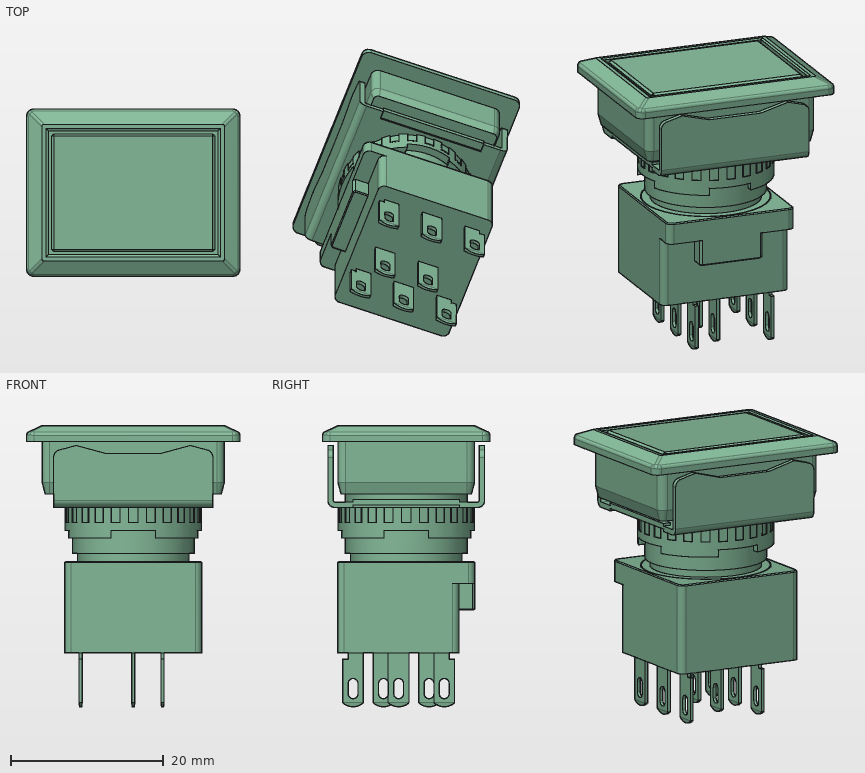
import cadquery as cq
import math

TOP = 36.9
BEZEL_BOTTOM = 34.8
BODY_TAPER_START = 29.4
BODY_BOTTOM = 27.9
CLIP_BOTTOM = 26.13
NUT_BOTTOM = 22.15
NECK_TOP = 20.15
BLOCK_TOP = 19.08
STEP_HEIGHT = 16.2
BLOCK_BOTTOM = 7.1

BEZEL_LENGTH = 28.0
BEZEL_WIDTH = 22.0
RIM_INSET = 2.03
SLOPE_HEIGHT = 0.95
BEZEL_CORNER = 1.0
SLOPE_CORNER = 0.75
BEZEL_EDGE = 0.5
RECESS_INSET = 2.6
RECESS_EDGE_WIDTH = 0.3
RECESS_EDGE_DROP = 0.15
RECESS_DEPTH = 0.75
BUTTON_INSET = 3.3
BUTTON_CHAMFER = 0.3

BODY_LENGTH = 23.9
BODY_WIDTH = 17.95
BODY_CORNER = 1.0
BODY_TAPER = 0.4
BARREL_RADIUS = 8.0
NECK_RADIUS = 7.35
FLANGE_RADIUS = 8.45
FLANGE_CLEARANCE = 0.1
FLANGE_THICKNESS = 0.75

CLIP_LENGTH = 20.9
CLIP_WIDTH = 20.6
CLIP_THICKNESS = 0.75
CLIP_BEND_RADIUS = 0.95
ARM_PEAK_X = 7.5
ARM_PEAK_HEIGHT = 34.28
ARM_VALLEY_X = 3.7
ARM_SLOPE = math.tan(math.radians(15))
ARM_CORNER = 1.0
PAD_WIDTH = 14.02
PAD_DEPTH = 1.1
PAD_OFFSET = 0.35

NUT_RADIUS = 8.95
GRIP_SLOT_COUNT = 24
GRIP_SLOT_WIDTH = 1.18
GRIP_SLOT_DEPTH = 0.15
GRIP_SLOT_BOTTOM = 24.17
NOTCH_WIDTH = 5.85
NOTCH_HEIGHT = 0.95

BLOCK_SIDE = 17.97
BLOCK_CORNER = 0.85
BLOCK_TOP_CHAMFER = 0.15
STEP_DEPTH = 2.05
LUG_WIDTH = 8.85
LUG_BOTTOM = 12.7
LUG_SIDE_CHAMFER = 0.3
LUG_BOTTOM_CHAMFER = 0.15

TERMINAL_WIDTH = 2.73
TERMINAL_THICKNESS = 0.45
TERMINAL_PITCH = 5.98
TERMINAL_ROW_CENTER_Y = -1.0
CONTACT_ROWS_X = (-6.9, 3.85)
LAMP_TERMINALS_Y = (-3.0, 3.0)
TIP_HEIGHT = 0.55
TIP_TAPER = 0.07
EYE_WIDTH = 1.25
EYE_LENGTH = 2.62
EYE_CENTER_HEIGHT = 2.4
SHOULDER_HEIGHT = 6.27
SHOULDER_WIDTH = 0.7

SELECTION_MARGIN = 0.05
CORNER_EDGE_RISE = 0.35


def slab(length, width, bottom, top):
    """Box centred on the Z axis between two heights."""
    return cq.Workplane().workplane(offset=bottom).rect(length, width).extrude(top - bottom)


def disc(radius, bottom, top):
    """Cylinder on the Z axis between two heights."""
    return cq.Workplane().workplane(offset=bottom).circle(radius).extrude(top - bottom)


def frustum(inset_low, inset_high, low, high):
    """Loft between two rectangles inset from the bezel outline."""
    return (
        cq.Workplane()
        .workplane(offset=low)
        .rect(BEZEL_LENGTH - 2 * inset_low, BEZEL_WIDTH - 2 * inset_low)
        .workplane(offset=high - low)
        .rect(BEZEL_LENGTH - 2 * inset_high, BEZEL_WIDTH - 2 * inset_high)
        .loft(ruled=True)
    )


def make_bezel():
    """Picture-frame bezel with sloped sides and a raised button face in its recess."""
    slope_start = TOP - SLOPE_HEIGHT
    slope_run = RIM_INSET / SLOPE_HEIGHT
    base_inset = -(slope_start - BEZEL_BOTTOM) * slope_run
    plate = slab(BEZEL_LENGTH, BEZEL_WIDTH, BEZEL_BOTTOM, TOP).edges("|Z").fillet(BEZEL_CORNER)
    pyramid = frustum(base_inset, RIM_INSET, BEZEL_BOTTOM, TOP).edges("not #Z").fillet(SLOPE_CORNER)
    bezel = plate.intersect(pyramid)
    outer_edge = cq.selectors.BoxSelector(
        (-BEZEL_LENGTH, -BEZEL_WIDTH, slope_start - SELECTION_MARGIN),
        (BEZEL_LENGTH, BEZEL_WIDTH, slope_start + CORNER_EDGE_RISE),
        boundingbox=True,
    )
    bezel = bezel.edges(outer_edge).fillet(BEZEL_EDGE)

    floor = TOP - RECESS_DEPTH
    wall_inset = RECESS_INSET + RECESS_EDGE_WIDTH
    wall_top = TOP - RECESS_EDGE_DROP
    recess = frustum(wall_inset, wall_inset, floor, wall_top)
    recess = recess.union(frustum(wall_inset, RECESS_INSET, wall_top, TOP))
    button = slab(BEZEL_LENGTH - 2 * BUTTON_INSET, BEZEL_WIDTH - 2 * BUTTON_INSET, floor, TOP)
    button = button.edges("|Z or >Z").chamfer(BUTTON_CHAMFER)
    return bezel.cut(recess).union(button)


def make_housing():
    """Bezel, rectangular body, round barrel and the flange that seats in the switch block."""
    body = slab(BODY_LENGTH, BODY_WIDTH, BODY_BOTTOM, BEZEL_BOTTOM).edges("|Z").fillet(BODY_CORNER)
    body = body.faces("<Z").chamfer(BODY_TAPER_START - BODY_BOTTOM, BODY_TAPER)
    return (
        make_bezel()
        .union(body)
        .union(disc(BARREL_RADIUS, NECK_TOP, BODY_BOTTOM))
        .union(disc(NECK_RADIUS, BLOCK_TOP, NECK_TOP))
        .union(disc(FLANGE_RADIUS, BLOCK_TOP - FLANGE_THICKNESS, BLOCK_TOP))
    )


def make_clip():
    """U-shaped spring clip around the barrel, with two double-peaked arms."""
    channel = slab(CLIP_LENGTH, CLIP_WIDTH, CLIP_BOTTOM, TOP)
    channel = channel.edges("|X and <Z").fillet(CLIP_BEND_RADIUS)
    inside = slab(CLIP_LENGTH, CLIP_WIDTH - 2 * CLIP_THICKNESS, CLIP_BOTTOM + CLIP_THICKNESS, TOP)
    inside = inside.edges("|X and <Z").fillet(CLIP_BEND_RADIUS - CLIP_THICKNESS)

    half_length = CLIP_LENGTH / 2
    corner_height = ARM_PEAK_HEIGHT - (half_length - ARM_PEAK_X) * ARM_SLOPE
    valley_height = ARM_PEAK_HEIGHT - (ARM_PEAK_X - ARM_VALLEY_X) * ARM_SLOPE
    arm_outline = (
        cq.Workplane("XZ")
        .moveTo(-half_length, CLIP_BOTTOM)
        .lineTo(-half_length, corner_height)
        .lineTo(-ARM_PEAK_X, ARM_PEAK_HEIGHT)
        .lineTo(-ARM_VALLEY_X, valley_height)
        .lineTo(ARM_VALLEY_X, valley_height)
        .lineTo(ARM_PEAK_X, ARM_PEAK_HEIGHT)
        .lineTo(half_length, corner_height)
        .lineTo(half_length, CLIP_BOTTOM)
        .close()
        .extrude(CLIP_WIDTH / 2, both=True)
    )
    corners = cq.selectors.BoxSelector(
        (-CLIP_LENGTH, -CLIP_WIDTH, corner_height - SELECTION_MARGIN),
        (CLIP_LENGTH, CLIP_WIDTH, corner_height + SELECTION_MARGIN),
    )
    arm_outline = arm_outline.edges(corners).fillet(ARM_CORNER)
    clip = channel.cut(inside).intersect(arm_outline)

    pad_x = half_length - PAD_DEPTH / 2
    for x in (-pad_x, pad_x):
        hollow = slab(PAD_DEPTH, PAD_WIDTH, CLIP_BOTTOM, CLIP_BOTTOM + PAD_OFFSET)
        plate_top = CLIP_BOTTOM + CLIP_THICKNESS
        pad = slab(PAD_DEPTH, PAD_WIDTH, plate_top, plate_top + PAD_OFFSET)
        clip = clip.cut(hollow.translate((x, 0, 0))).union(pad.translate((x, 0, 0)))
    return clip.cut(disc(BARREL_RADIUS, CLIP_BOTTOM, TOP))


def make_nut():
    """Ring nut with grip slots round its upper part and four notches in its lower edge."""
    nut = disc(NUT_RADIUS, NUT_BOTTOM, CLIP_BOTTOM).cut(disc(BARREL_RADIUS, NUT_BOTTOM, CLIP_BOTTOM))
    grip_slot = slab(2 * GRIP_SLOT_DEPTH, GRIP_SLOT_WIDTH, GRIP_SLOT_BOTTOM, CLIP_BOTTOM)
    grip_slot = grip_slot.translate((NUT_RADIUS, 0, 0))
    for index in range(GRIP_SLOT_COUNT):
        nut = nut.cut(grip_slot.rotate((0, 0, 0), (0, 0, 1), index * 360 / GRIP_SLOT_COUNT))
    across = 2 * NUT_RADIUS
    notch_top = NUT_BOTTOM + NOTCH_HEIGHT
    nut = nut.cut(slab(across, NOTCH_WIDTH, NUT_BOTTOM, notch_top))
    return nut.cut(slab(NOTCH_WIDTH, across, NUT_BOTTOM, notch_top))


def make_terminal(x, y, shoulder_side=0):
    """Solder terminal; shoulder_side is the sign of the Y side cut back under the block."""
    half_width = TERMINAL_WIDTH / 2
    half_thickness = TERMINAL_THICKNESS / 2
    blade = (
        cq.Workplane("YZ")
        .moveTo(-half_width, BLOCK_BOTTOM)
        .lineTo(-half_width, TIP_HEIGHT)
        .threePointArc((0, 0), (half_width, TIP_HEIGHT))
        .lineTo(half_width, BLOCK_BOTTOM)
        .close()
        .extrude(half_thickness, both=True)
    )
    thickness_profile = (
        cq.Workplane("XZ")
        .moveTo(-half_thickness, BLOCK_BOTTOM)
        .lineTo(-half_thickness, TIP_HEIGHT)
        .lineTo(TIP_TAPER - half_thickness, 0)
        .lineTo(half_thickness - TIP_TAPER, 0)
        .lineTo(half_thickness, TIP_HEIGHT)
        .lineTo(half_thickness, BLOCK_BOTTOM)
        .close()
        .extrude(half_width, both=True)
    )
    eye = (
        cq.Workplane("YZ")
        .center(0, EYE_CENTER_HEIGHT)
        .slot2D(EYE_LENGTH, EYE_WIDTH, 90)
        .extrude(TERMINAL_THICKNESS, both=True)
    )
    terminal = blade.intersect(thickness_profile).cut(eye)
    if shoulder_side:
        shoulder = slab(TERMINAL_THICKNESS, SHOULDER_WIDTH, SHOULDER_HEIGHT, BLOCK_BOTTOM)
        shoulder_y = shoulder_side * (half_width - SHOULDER_WIDTH / 2)
        terminal = terminal.cut(shoulder.translate((0, shoulder_y, 0)))
    return terminal.translate((x, y, 0))


def make_switch_block():
    """Contact block with a stepped back, a lug under the step and its terminals."""
    half_side = BLOCK_SIDE / 2
    step_y = half_side - STEP_DEPTH
    head = slab(BLOCK_SIDE, BLOCK_SIDE, STEP_HEIGHT, BLOCK_TOP)
    head = head.edges("|Z").fillet(BLOCK_CORNER)
    head = head.faces(">Z").edges().chamfer(BLOCK_TOP_CHAMFER)
    base = slab(BLOCK_SIDE, BLOCK_SIDE - STEP_DEPTH, BLOCK_BOTTOM, STEP_HEIGHT)
    base = base.edges("|Z").fillet(BLOCK_CORNER).translate((0, -STEP_DEPTH / 2, 0))
    lug = slab(LUG_WIDTH, STEP_DEPTH, LUG_BOTTOM, STEP_HEIGHT)
    lug = lug.edges("|Z and >Y").chamfer(LUG_SIDE_CHAMFER)
    lug = lug.edges("<Z and (not <Y)").chamfer(LUG_BOTTOM_CHAMFER)
    lug = lug.translate((0, step_y + STEP_DEPTH / 2, 0))
    block = head.union(base).union(lug)

    for x in CONTACT_ROWS_X:
        for place in (-1, 0, 1):
            y = TERMINAL_ROW_CENTER_Y + place * TERMINAL_PITCH
            block = block.union(make_terminal(x, y, shoulder_side=place))
    for y in LAMP_TERMINALS_Y:
        block = block.union(make_terminal(0, y))
    socket_radius = FLANGE_RADIUS + FLANGE_CLEARANCE
    return block.cut(disc(socket_radius, BLOCK_TOP - FLANGE_THICKNESS, BLOCK_TOP))


housing = make_housing()
clip = make_clip()
nut = make_nut()
switch_block = make_switch_block()

result = cq.Compound.makeCompound([housing.val(), clip.val(), nut.val(), switch_block.val()])